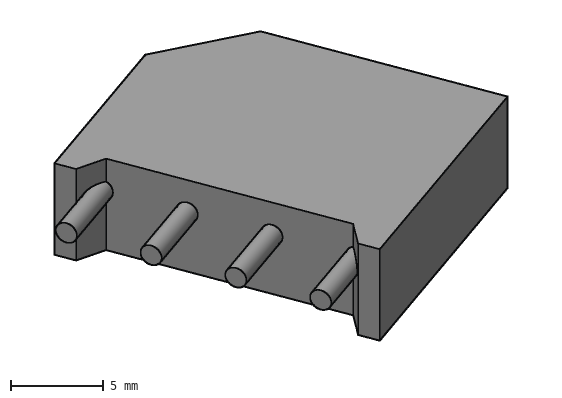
import cadquery as cq

body_width = 19.5
body_thickness = 6.0
overall_length = 19.3
pin_protrusion = 3.0
corner_chamfer = 4.7

recess_depth = 1.6
foot_tip_width = 1.3
foot_root_width = 2.35

pin_count = 4
pin_pitch = 5.08
pin_diameter = 1.27
pin_depth_from_top = 2.1
pin_embed = 1.0

half_width = body_width / 2
body_length = overall_length - pin_protrusion
pin_axis_z = body_thickness - pin_depth_from_top


def make_body():
    """Extruded block with one cut corner and a sloped-sided recess at the pin end."""
    outline = [
        (-half_width, 0),
        (-half_width + foot_tip_width, 0),
        (-half_width + foot_root_width, recess_depth),
        (half_width - foot_root_width, recess_depth),
        (half_width - foot_tip_width, 0),
        (half_width, 0),
        (half_width, body_length),
        (-half_width + corner_chamfer, body_length),
        (-half_width, body_length - corner_chamfer),
    ]
    return cq.Workplane("XY").polyline(outline).close().extrude(body_thickness)


def make_pin(x):
    """Round pin along -Y, rooted inside the body."""
    root_y = recess_depth + pin_embed
    return (
        cq.Workplane("XZ", origin=(x, root_y, pin_axis_z))
        .circle(pin_diameter / 2)
        .extrude(root_y + pin_protrusion)
    )


result = make_body()
for index in range(pin_count):
    pin_x = (index - (pin_count - 1) / 2) * pin_pitch
    result = result.union(make_pin(pin_x))